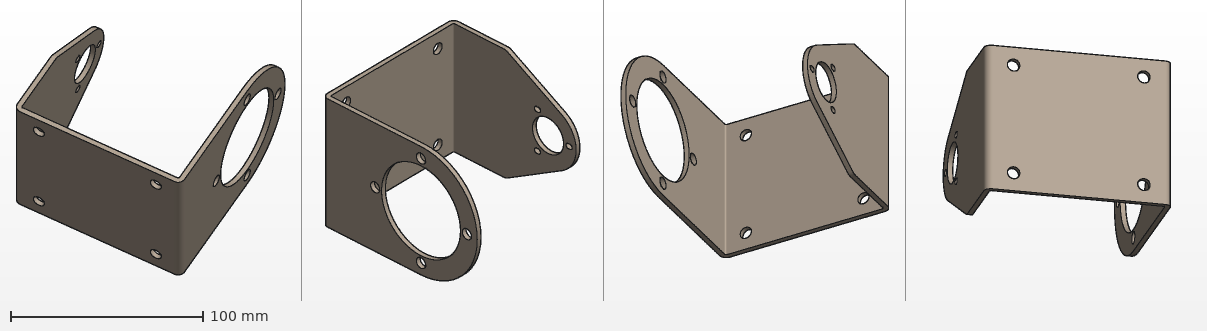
import cadquery as cq
import math

width = 100.0
depth = 110.0
height = 80.0
thickness = 3.0
inner_bend_radius = 0.9
outer_bend_radius = inner_bend_radius + thickness

long_arm_radius = height / 2
axis_y = depth - long_arm_radius

plate_hole_diameter = 6.6
plate_hole_pitch_x = 70.0
plate_hole_pitch_z = 60.0

long_bore_diameter = 56.0
long_hole_diameter = 6.5
long_hole_circle_radius = 32.6
long_hole_count = 4

short_arm_radius = 20.0
short_bore_diameter = 22.0
shoulder_y = 40.0
shoulder_blend_radius = 5.0
slot_circle_radius = 15.0
slot_length = 4.3
slot_width = 3.2
slot_angles = (0, 120, 240)

short_side_x = -width / 2
long_side_x = width / 2 - 2 * thickness
arm_cut = 2 * thickness
plate_cut = 2 * thickness


def arm_plane(x):
    """YZ sketch plane at the given X, with its origin on the bore axis."""
    return cq.Workplane("YZ", origin=(x, axis_y, 0))


def bent_sheet():
    """U-shaped sheet with rounded bends and both arms at full depth."""
    inner_width = width - 2 * thickness
    outer = (
        cq.Workplane("XY")
        .box(width, depth, height, centered=(True, False, True))
        .edges("|Z and <Y")
        .fillet(outer_bend_radius)
    )
    inner = (
        cq.Workplane("XY", origin=(0, thickness, 0))
        .box(inner_width, depth, height, centered=(True, False, True))
        .edges("|Z and <Y")
        .fillet(inner_bend_radius)
    )
    return outer.cut(inner)


def long_arm_envelope():
    """Full-width block with the long arm's half-round end."""
    return (
        arm_plane(-width / 2)
        .moveTo(-axis_y, -height / 2)
        .lineTo(0, -height / 2)
        .threePointArc((long_arm_radius, 0), (0, height / 2))
        .lineTo(-axis_y, height / 2)
        .close()
        .extrude(width)
    )


def short_arm_waste():
    """Material outside the tapered short arm, whose flanks are tangent to its round end."""
    shoulder_back = axis_y - shoulder_y
    half_height = height / 2
    shoulder_distance = math.hypot(shoulder_back, half_height)
    shoulder_angle = math.atan2(half_height, -shoulder_back)
    tangent_angle = shoulder_angle - math.acos(short_arm_radius / shoulder_distance)
    tangent_y = short_arm_radius * math.cos(tangent_angle)
    tangent_z = short_arm_radius * math.sin(tangent_angle)

    profile = (
        arm_plane(short_side_x)
        .moveTo(-axis_y, -half_height)
        .lineTo(-shoulder_back, -half_height)
        .lineTo(tangent_y, -tangent_z)
        .threePointArc((short_arm_radius, 0), (tangent_y, tangent_z))
        .lineTo(-shoulder_back, half_height)
        .lineTo(-axis_y, half_height)
        .close()
        .extrude(arm_cut)
    )
    shoulder_corners = cq.selectors.BoxSelector(
        (-width, shoulder_y - thickness, -height),
        (width, shoulder_y + thickness, height),
    )
    profile = profile.edges("|X").edges(shoulder_corners).fillet(shoulder_blend_radius)
    blank = cq.Workplane("XY", origin=(short_side_x, 0, 0)).box(
        arm_cut, depth, height, centered=(False, False, True)
    )
    return blank.cut(profile)


def plate_holes():
    return (
        cq.Workplane("XZ", origin=(0, plate_cut, 0))
        .rarray(plate_hole_pitch_x, plate_hole_pitch_z, 2, 2)
        .circle(plate_hole_diameter / 2)
        .extrude(plate_cut)
    )


def long_arm_holes():
    bore = arm_plane(long_side_x).circle(long_bore_diameter / 2).extrude(arm_cut)
    holes = (
        arm_plane(long_side_x)
        .polarArray(long_hole_circle_radius, 0, 360, long_hole_count)
        .circle(long_hole_diameter / 2)
        .extrude(arm_cut)
    )
    return bore.union(holes)


def short_arm_holes():
    """Bore with three slots around it, all elongated along Y."""
    bore = arm_plane(short_side_x).circle(short_bore_diameter / 2).extrude(arm_cut)
    centres = [
        (
            slot_circle_radius * math.cos(math.radians(angle)),
            slot_circle_radius * math.sin(math.radians(angle)),
        )
        for angle in slot_angles
    ]
    slots = arm_plane(short_side_x).pushPoints(centres).slot2D(slot_length, slot_width).extrude(arm_cut)
    return bore.union(slots)


result = (
    bent_sheet()
    .intersect(long_arm_envelope())
    .cut(short_arm_waste())
    .cut(plate_holes())
    .cut(long_arm_holes())
    .cut(short_arm_holes())
)